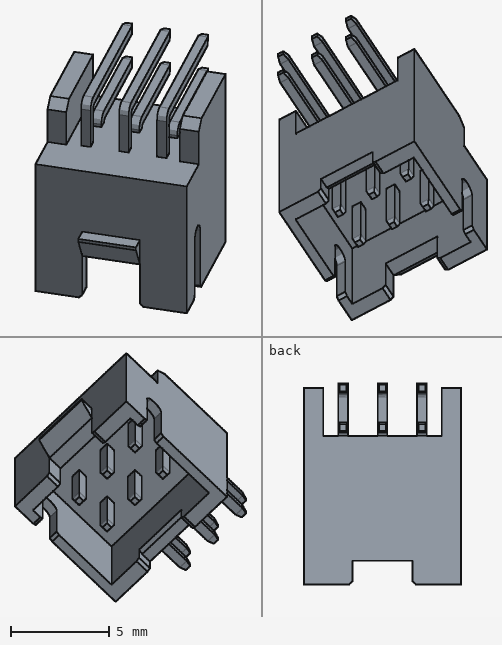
import cadquery as cq
import math


overall_length = 11.2
housing_width = 8.0
housing_depth = 7.25
body_height = 7.56
front_wall = 0.8
rear_wall = 0.8
side_wall = 0.5
cavity_depth = 6.0

ear_height = 10.0
ear_width = 1.0
ear_setback = 2.25
ear_chamfer = 0.5

lead_in = 0.18
window_width = 3.05
window_height = 2.5
slot_width = 1.0
slot_height = 4.0
slot_setback = 1.5
rear_notch_height = 1.21
rear_notch_chamfer = 0.22

latch_reach = 0.74
latch_top = 3.95
latch_lip = 0.18

pin_size = 0.5
pin_pitch = 2.0
pins_per_row = 3
pin_setback = 2.37
pin_bottom = 2.17
pin_top = 10.25
bend_outer_radius = 0.5
bend_inner_radius = 0.2
tip_length = 0.36
tip_end_size = 0.31


def block(width, y_start, y_end, z_start, z_end, x_center=0.0):
    """Box centred on x_center, spanning the given Y and Z ranges."""
    return (
        cq.Workplane("XY")
        .box(width, y_end - y_start, z_end - z_start, centered=(True, False, False))
        .translate((x_center, y_start, z_start))
    )


def start_opening(plane, width, straight_height):
    """Sketch the left side of an opening that widens by a chamfer at the mating end."""
    half = width / 2
    return (
        cq.Workplane(plane)
        .moveTo(-half - lead_in, 0)
        .lineTo(-half, lead_in)
        .lineTo(-half, straight_height)
    )


def finish_opening(outline, width):
    """Close an opening sketch down its right side."""
    half = width / 2
    return outline.lineTo(half, lead_in).lineTo(half + lead_in, 0).close()


def make_body():
    """Block hollowed from the mating end."""
    body = block(housing_width, 0, housing_depth, 0, body_height)
    cavity = block(
        housing_width - 2 * side_wall,
        front_wall,
        housing_depth - rear_wall,
        0,
        cavity_depth,
    )
    return body.cut(cavity)


def make_ear(side):
    """Ear on the -X (side = -1) or +X (side = 1) edge of the body top."""
    ear = block(ear_width, ear_setback, housing_depth, 0, ear_height - body_height)
    ear = ear.faces("<Y").edges(">Z").chamfer(ear_chamfer)
    return ear.translate((side * (housing_width - ear_width) / 2, 0, body_height))


def make_wall_window(height, thickness):
    """Square-topped opening that runs from Y = 0 through one wall."""
    outline = start_opening("XZ", window_width, height).lineTo(window_width / 2, height)
    return finish_opening(outline, window_width).extrude(-thickness)


def make_side_slots():
    """Round-topped slot running through both side walls."""
    half = slot_width / 2
    arc_start = slot_height - half
    outline = start_opening("YZ", slot_width, arc_start)
    outline = outline.threePointArc((0, slot_height), (half, arc_start))
    slot = finish_opening(outline, slot_width).extrude(housing_width / 2, both=True)
    return slot.translate((0, slot_setback + half, 0))


def make_rear_notch():
    """Notch through the rear wall, bevelled along its inner upper edge."""
    inner_face = housing_depth - rear_wall
    notch = make_wall_window(rear_notch_height, rear_wall).translate((0, inner_face, 0))
    bevel = (
        cq.Workplane("YZ")
        .moveTo(inner_face, rear_notch_height)
        .lineTo(inner_face + rear_notch_chamfer, rear_notch_height)
        .lineTo(inner_face, rear_notch_height + rear_notch_chamfer)
        .close()
        .extrude(window_width / 2, both=True)
    )
    return notch.union(bevel)


def make_latch():
    """Wedge with a flat top and a sloping underside."""
    return (
        cq.Workplane("YZ")
        .moveTo(0, window_height)
        .lineTo(-latch_reach, latch_top - latch_lip)
        .lineTo(-latch_reach, latch_top)
        .lineTo(0, latch_top)
        .close()
        .extrude(window_width / 2, both=True)
    )


def make_pin_tip():
    """Square tip that tapers upward from Z = 0."""
    taper = math.degrees(math.atan((pin_size - tip_end_size) / 2 / tip_length))
    return cq.Workplane("XY").rect(pin_size, pin_size).extrude(tip_length, taper=taper)


def make_pin(x, front, top):
    """L-shaped square pin with its upright starting at Y = front."""
    half = pin_size / 2
    upright_start = pin_bottom + tip_length
    tail_end = overall_length - latch_reach - tip_length
    upright = block(pin_size, front, front + pin_size, upright_start, top, x)
    tail = block(pin_size, front, tail_end, top - pin_size, top, x)
    outer_corner = cq.selectors.NearestToPointSelector((x, front, top))
    inner_corner = cq.selectors.NearestToPointSelector((x, front + pin_size, top - pin_size))
    pin = upright.union(tail)
    pin = pin.edges("|X").edges(outer_corner).fillet(bend_outer_radius)
    pin = pin.edges("|X").edges(inner_corner).fillet(bend_inner_radius)
    lower_tip = make_pin_tip().rotate((0, 0, 0), (1, 0, 0), 180)
    tail_tip = make_pin_tip().rotate((0, 0, 0), (1, 0, 0), -90)
    pin = pin.union(lower_tip.translate((x, front + half, upright_start)))
    return pin.union(tail_tip.translate((x, tail_end, top - half)))


result = make_body()
for side in (-1, 1):
    result = result.union(make_ear(side))
result = result.cut(make_wall_window(window_height, front_wall))
result = result.cut(make_side_slots())
result = result.cut(make_rear_notch())
result = result.union(make_latch())

for row in range(2):
    row_offset = row * pin_pitch
    for column in range(pins_per_row):
        pin_x = (column - (pins_per_row - 1) / 2) * pin_pitch
        result = result.union(make_pin(pin_x, pin_setback + row_offset, pin_top - row_offset))